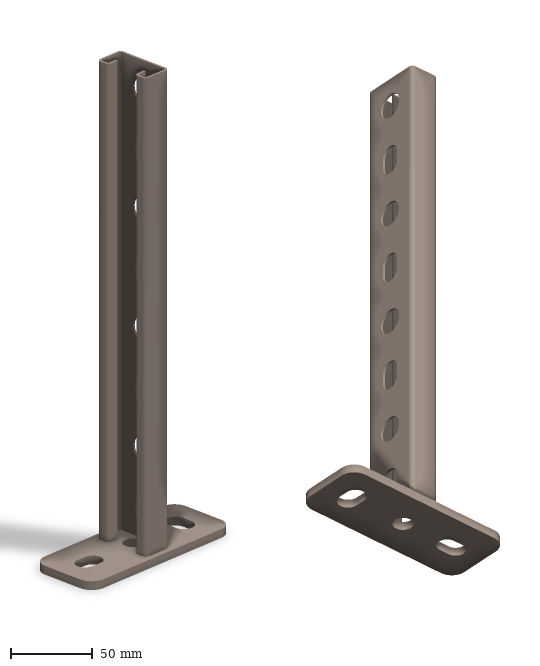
import cadquery as cq

total_height = 326.0
plate_width = 50.0
plate_length = 125.0
plate_thickness = 6.0
plate_corner_radius = 10.0

centre_hole_diameter = 13.0
front_slot_length = 20.0
front_slot_width = 13.0
front_slot_y = -39.0
rear_slot_length = 21.0
rear_slot_width = 14.0
rear_slot_y = 41.5

channel_height = total_height - plate_thickness
channel_width = 41.0
channel_depth = 21.0
sheet_thickness = 1.5
bend_outer_radius = 3.0
bend_inner_radius = bend_outer_radius - sheet_thickness
flange_width = 9.5
lip_height = 8.5

perforation_count = 8
perforation_pitch = channel_height / perforation_count
web_hole_diameter = 17.0
web_slot_length = 20.2
web_slot_width = 13.0


def make_plate():
    plate = (
        cq.Workplane("XY")
        .box(plate_width, plate_length, plate_thickness, centered=(True, True, False))
        .edges("|Z")
        .fillet(plate_corner_radius)
    )
    top = plate.faces(">Z").workplane(origin=(0, 0, plate_thickness))
    plate = top.hole(centre_hole_diameter)
    top = plate.faces(">Z").workplane(origin=(0, 0, plate_thickness))
    plate = top.center(0, front_slot_y).slot2D(front_slot_length, front_slot_width, 90).cutThruAll()
    top = plate.faces(">Z").workplane(origin=(0, 0, plate_thickness))
    return top.center(0, rear_slot_y).slot2D(rear_slot_length, rear_slot_width).cutThruAll()


def rounded_prism(width, depth, radius):
    """Upright prism with rounded corners, standing on the plate."""
    return (
        cq.Workplane("XY", origin=(0, 0, plate_thickness))
        .rect(width, depth)
        .extrude(channel_height)
        .edges("|Z")
        .fillet(radius)
    )


def make_lip(side):
    """One front flange with its return lip, joined by a rounded bend."""
    tip_x = channel_width / 2 - flange_width
    wall_x = channel_width / 2 - bend_outer_radius
    front_y = -channel_depth / 2
    end_y = front_y + lip_height
    inner_x = tip_x + sheet_thickness
    bend_x = tip_x + bend_outer_radius
    bend_y = front_y + bend_outer_radius
    flange_y = front_y + sheet_thickness
    lip = (
        cq.Workplane("XY", origin=(0, 0, plate_thickness))
        .moveTo(wall_x, front_y)
        .lineTo(bend_x, front_y)
        .radiusArc((tip_x, bend_y), bend_outer_radius)
        .lineTo(tip_x, end_y)
        .lineTo(inner_x, end_y)
        .lineTo(inner_x, bend_y)
        .radiusArc((bend_x, flange_y), -bend_inner_radius)
        .lineTo(wall_x, flange_y)
        .close()
        .extrude(channel_height)
    )
    return lip if side > 0 else lip.mirror("YZ")


def make_channel():
    inside_width = channel_width - 2 * sheet_thickness
    inside_depth = channel_depth - 2 * sheet_thickness
    channel = rounded_prism(channel_width, channel_depth, bend_outer_radius)
    channel = channel.cut(rounded_prism(inside_width, inside_depth, bend_inner_radius))

    mouth_width = channel_width - 2 * bend_outer_radius
    mouth = (
        cq.Workplane("XY", origin=(0, -channel_depth / 2, plate_thickness))
        .rect(mouth_width, 2 * sheet_thickness)
        .extrude(channel_height)
    )
    channel = channel.cut(mouth)
    for side in (-1, 1):
        channel = channel.union(make_lip(side))
    return channel.cut(make_web_perforations())


def make_web_perforations():
    cut_depth = 3 * sheet_thickness
    cutters = cq.Workplane("XY")
    for index in range(perforation_count):
        z = total_height - (index + 0.5) * perforation_pitch
        sketch = cq.Workplane("XZ", origin=(0, channel_depth / 2 + sheet_thickness, z))
        if index % 2 == 0:
            outline = sketch.circle(web_hole_diameter / 2)
        else:
            outline = sketch.slot2D(web_slot_length, web_slot_width, 90)
        cutters = cutters.add(outline.extrude(cut_depth))
    return cutters.combine()


plate = make_plate()
channel = make_channel()

result = cq.Compound.makeCompound([plate.val(), *channel.vals()])